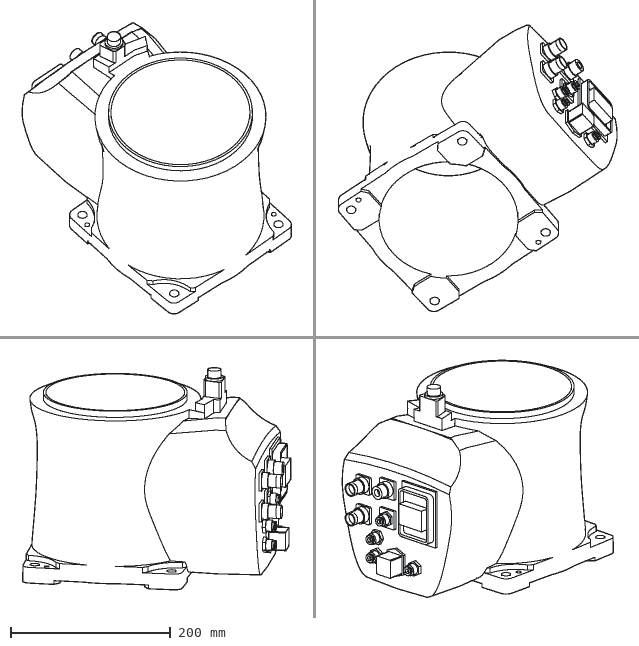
import cadquery as cq

TOTAL_HEIGHT = 260.8
TOTAL_LENGTH = 328.38
BORE_RADIUS = 87.0
RIM_RADIUS = 107.25
RIM_Z = 217.0
LIP_RADIUS = 90.2
LIP_HEIGHT = 8.0

RIM_LOWER_Z = 202.0
RIM_LOWER_RADIUS = 105.0
FOOT_RADIUS = 105.7
FOOT_TOP_Z = 9.7
WAIST_POINTS = [(104.7, 27.5), (99.9, 89.0), (98.0, 142.0), (99.6, 180.0)]

BASE_HALF = 103.4
BASE_CORNER = 101.2
BASE_FLAT_HALF = 22.3
BASE_DRAFT = 1.0
BASE_CORNER_RADIUS = 10.0
BASE_TOP_Z = 27.5
FOOT_HEIGHT = 5.0
FOOT_INNER = 54.0
FOOT_RELIEF = 7.0
CORNER_FLOOR_Z = 20.5
POCKET_X_MOUTH = (51.5, BASE_HALF)
POCKET_START = (58.5, 97.0)
POCKET_MIDDLE = (73.0, 79.0)
POCKET_END = (98.0, 70.0)
POCKET_Y_MOUTH = (BASE_HALF, 63.0)
BOLT_OFFSET = 87.0
BOLT_DIAMETER = 11.5
DOWEL_X = 70.7
DOWEL_Y = 93.5
DOWEL_DIAMETER = 6.0

FACE_X = -194.3
HOUSING_MID_X = -139.6
HOUSING_END_X = -40.0
HOUSING_BOTTOM_Z = 7.6
FACE_BOTTOM_Z = 8.7
HOUSING_TOP_Z = 212.0
HOUSING_END_TOP_Z = 196.0
FACE_WIDTH_SCALE = 0.985
END_WIDTH_SCALE = 0.865
SIDE_POINTS = [
    (51.5, 9.5),
    (62.0, 15.0),
    (69.5, 25.5),
    (85.8, 75.0),
    (94.8, 125.0),
    (86.5, 172.0),
    (69.0, 201.0),
]
TOP_HALF_WIDTH = 50.0

SCOOP_RADIUS = 660.0
SCOOP_EDGE_Z = 165.0
SCOOP_BAND = (-189.0, 173.0)
SCOOP_MIDDLE = (-166.0, 187.5)
SCOOP_TOP_X = -149.5
SCOOP_SWEEP = 24.0

MAST_X = -126.1
BRACKET_FRONT_X = -137.3
BRACKET_BACK_X = -114.0
BRACKET_TOP_Z = 227.6
BRACKET_BOTTOM_Z = 200.0
BRACKET_SIDE_Y = -24.4
BRACKET_STEP_Y = 23.3
ARM_END_OUTER = (-122.0, 48.8)
ARM_END_INNER = (-109.0, 40.6)
ARM_STEP = (-129.0, 21.7)
PAD_SIDE = (-105.0, -16.8)
PAD_ARM_SIDE = (-100.0, 36.3)
MAST_FRONT_HALF = 16.2
MAST_BACK_HALF = 9.5
MAST_CHAMFER = 2.5
MAST_TOP_Z = 248.3
COLLAR_RADIUS = 11.4
COLLAR_TOP_Z = 251.3
PIN_RADIUS = 8.4

PLATE_DEPTH = 3.2
SOCKET_Y = 55.0
SOCKET_ZS = (134.7, 94.9)
SOCKET_PLATE = 23.1
SOCKET_CORNER = 2.5
SOCKET_DEPTH = 6.0
SOCKET_TIP_X = RIM_RADIUS - TOTAL_LENGTH
SHOULDER_X = -205.2
SHOULDER_RADIUS = 10.2
SOCKET_RADIUS = 8.4
SOCKET_BORE = 7.2
PORT_Y = 13.9
PORT_PLATE = 24.7
PORT_CORNER = 1.2
ROUND_PORT_Z = 139.9
ROUND_PORT_TIP_X = -215.8
ROUND_PORT_BORE = 4.5
HEX_PORT_Z = 100.2
HEX_PORT_NUT_DEPTH = 3.0
POINT_UP = 30.0
POINT_SIDEWAYS = 0.0
GLANDS = [(32.4, 70.1, POINT_SIDEWAYS), (32.4, 45.2, POINT_UP), (-32.3, 45.2, POINT_UP)]
GLAND_HEX_DIAMETER = 19.8
GLAND_NUT_DEPTH = 4.0
GLAND_RADIUS = 7.0
GLAND_LENGTH = 7.3
GLAND_STEM_RADIUS = 4.5
GLAND_STEM_LENGTH = 2.7
GLAND_DISC_RADIUS = 5.8
GLAND_DISC_LENGTH = 1.7
GLAND_HOLE_RADIUS = 3.0

PLUG_Z = 44.7
PLUG_WIDTH = 24.3
PLUG_TIP_X = -218.9
PLUG_CHAMFER = 1.0
PLUG_PLATE_HALF_WIDTH = 14.2
PLUG_PLATE_SHOULDER = 13.0
PLUG_PLATE_POINT = 18.7

PANEL_Y = -40.0
PANEL_Z = 120.0
PANEL_WIDTH = 57.2
PANEL_HEIGHT = 75.1
FRAME_WIDTH = 51.0
FRAME_HEIGHT = 64.8
FRAME_CORNER = 6.0
FRAME_WALL = 3.0
FRAME_X = -207.3
PANEL_RECESS_FLOOR_X = -200.5
SWITCH_WIDTH = 38.3
SWITCH_HEIGHT = 27.7
SWITCH_X = -212.8


def on_face(y, z, x=FACE_X):
    """Workplane at x, facing -X, with its local axes along -Y and Z."""
    return cq.Workplane(cq.Plane(origin=(x, y, z), xDir=(0, -1, 0), normal=(-1, 0, 0)))


def make_tube():
    profile = (
        cq.Workplane("XZ")
        .moveTo(0, FOOT_HEIGHT)
        .lineTo(FOOT_RADIUS, FOOT_HEIGHT)
        .lineTo(FOOT_RADIUS, FOOT_TOP_Z)
        .spline(WAIST_POINTS + [(RIM_LOWER_RADIUS, RIM_LOWER_Z)], includeCurrent=True)
        .lineTo(RIM_RADIUS, RIM_Z)
        .lineTo(LIP_RADIUS, RIM_Z)
        .lineTo(LIP_RADIUS, RIM_Z + LIP_HEIGHT)
        .lineTo(0, RIM_Z + LIP_HEIGHT)
        .close()
    )
    return profile.revolve(360, (0, 0, 0), (0, 1, 0)).rotate((0, 0, 0), (0, 0, 1), -90)


def make_corner_pocket():
    """Space above the lowered bolt pad in the +X +Y corner, outside the web."""
    outside = 2 * BASE_HALF
    pocket = (
        cq.Workplane("XY", origin=(0, 0, CORNER_FLOOR_Z))
        .moveTo(*POCKET_X_MOUTH)
        .lineTo(*POCKET_START)
        .threePointArc(POCKET_MIDDLE, POCKET_END)
        .lineTo(*POCKET_Y_MOUTH)
        .lineTo(outside, POCKET_Y_MOUTH[1])
        .lineTo(outside, outside)
        .lineTo(POCKET_X_MOUTH[0], outside)
        .close()
        .extrude(BASE_TOP_Z)
    )
    return pocket


def make_base_plate():
    """Square plate, slightly wider at mid side, drafted above the foot line."""
    outline = []
    for turn_x, turn_y in ((1, 0), (0, 1), (-1, 0), (0, -1)):
        for x, y in ((BASE_HALF, -BASE_FLAT_HALF), (BASE_HALF, BASE_FLAT_HALF), (BASE_CORNER, BASE_CORNER)):
            outline.append((x * turn_x - y * turn_y, x * turn_y + y * turn_x))
    lower = (
        cq.Workplane("XY")
        .polyline(outline)
        .close()
        .extrude(FOOT_TOP_Z)
        .edges("|Z and (>(1,1,0) or <(1,1,0) or >(1,-1,0) or <(1,-1,0))")
        .fillet(BASE_CORNER_RADIUS)
    )
    return lower.faces(">Z").wires().toPending().extrude(BASE_TOP_Z - FOOT_TOP_Z, taper=BASE_DRAFT)


def make_underside_channel():
    """Channel along Y between the feet, widening where it meets the plate edge."""
    mouth_half = FOOT_INNER + FOOT_RELIEF
    flare_start = BASE_CORNER - FOOT_RELIEF
    return (
        cq.Workplane("XY")
        .polyline([
            (mouth_half, BASE_HALF),
            (FOOT_INNER, flare_start),
            (FOOT_INNER, -flare_start),
            (mouth_half, -BASE_HALF),
            (-mouth_half, -BASE_HALF),
            (-FOOT_INNER, -flare_start),
            (-FOOT_INNER, flare_start),
            (-mouth_half, BASE_HALF),
        ])
        .close()
        .extrude(FOOT_HEIGHT)
    )


def make_base():
    channel = make_underside_channel()
    base = make_base_plate().cut(channel).cut(channel.rotate((0, 0, 0), (0, 0, 1), 90))
    pocket = make_corner_pocket()
    for corner in (
        pocket,
        pocket.mirror("YZ"),
        pocket.mirror("XZ"),
        pocket.mirror("YZ").mirror("XZ"),
    ):
        base = base.cut(corner)
    bolts = cq.Workplane("XY").rect(2 * BOLT_OFFSET, 2 * BOLT_OFFSET, forConstruction=True).vertices()
    base = base.cut(bolts.circle(BOLT_DIAMETER / 2).extrude(BASE_TOP_Z))
    dowels = cq.Workplane("XY").pushPoints([(DOWEL_X, DOWEL_Y), (-DOWEL_X, -DOWEL_Y)])
    return base.cut(dowels.circle(DOWEL_DIAMETER / 2).extrude(BASE_TOP_Z))


def housing_section(x, width_scale, bottom_z, top_z):
    """Closed housing outline at x, scaled in width and fitted between bottom_z and top_z."""
    height_scale = (top_z - bottom_z) / (HOUSING_TOP_Z - HOUSING_BOTTOM_Z)

    def point(side, half_width, z):
        new_z = bottom_z + (z - HOUSING_BOTTOM_Z) * height_scale
        return cq.Vector(x, side * half_width * width_scale, new_z)

    bottom = cq.Vector(x, 0, bottom_z)
    sides = [[point(side, *p) for p in SIDE_POINTS] for side in (1, -1)]
    top = [point(side, TOP_HALF_WIDTH, HOUSING_TOP_Z) for side in (1, -1)]
    edges = [
        cq.Edge.makeLine(bottom, sides[0][0]),
        cq.Edge.makeSpline(sides[0]),
        cq.Edge.makeLine(sides[0][-1], top[0]),
        cq.Edge.makeLine(top[0], top[1]),
        cq.Edge.makeLine(top[1], sides[1][-1]),
        cq.Edge.makeSpline(sides[1][::-1]),
        cq.Edge.makeLine(sides[1][0], bottom),
    ]
    return cq.Wire.assembleEdges(edges)


def make_scoop():
    axis_z = SCOOP_EDGE_Z - SCOOP_RADIUS
    clear_z = TOTAL_HEIGHT
    clear_x = FACE_X - PLATE_DEPTH
    profile = (
        cq.Workplane("XZ")
        .moveTo(clear_x, SCOOP_EDGE_Z)
        .lineTo(FACE_X, SCOOP_EDGE_Z)
        .lineTo(*SCOOP_BAND)
        .spline([SCOOP_MIDDLE, (SCOOP_TOP_X, HOUSING_TOP_Z)], includeCurrent=True)
        .lineTo(SCOOP_TOP_X, clear_z)
        .lineTo(clear_x, clear_z)
        .close()
    )
    scoop = profile.revolve(SCOOP_SWEEP, (0, axis_z, 0), (1, axis_z, 0))
    return scoop.rotate((0, 0, axis_z), (1, 0, axis_z), -SCOOP_SWEEP / 2)


def make_housing():
    face = housing_section(FACE_X, FACE_WIDTH_SCALE, FACE_BOTTOM_Z, HOUSING_TOP_Z)
    middle = housing_section(HOUSING_MID_X, 1.0, HOUSING_BOTTOM_Z, HOUSING_TOP_Z)
    end = housing_section(HOUSING_END_X, END_WIDTH_SCALE, HOUSING_BOTTOM_Z, HOUSING_END_TOP_Z)
    front = cq.Workplane(cq.Solid.makeLoft([face, middle], True))
    rear = cq.Workplane(cq.Solid.makeLoft([middle, end], True))
    return front.cut(make_scoop()).union(rear)


def make_bracket():
    """Bracket with a side arm, standing on a lower pad that joins the rim."""
    outer = [
        (BRACKET_FRONT_X, BRACKET_SIDE_Y),
        (BRACKET_FRONT_X, BRACKET_STEP_Y),
        ARM_STEP,
        ARM_END_OUTER,
    ]
    side_slope = (PAD_SIDE[1] - BRACKET_SIDE_Y) / (PAD_SIDE[0] - BRACKET_FRONT_X)
    back_side_y = BRACKET_SIDE_Y + side_slope * (BRACKET_BACK_X - BRACKET_FRONT_X)
    upper_inner = [
        ARM_END_INNER,
        (BRACKET_BACK_X, BRACKET_STEP_Y),
        (BRACKET_BACK_X, back_side_y),
    ]
    pad = (
        cq.Workplane("XY", origin=(0, 0, BRACKET_BOTTOM_Z))
        .polyline(outer + [PAD_ARM_SIDE, PAD_SIDE])
        .close()
        .extrude(RIM_Z - BRACKET_BOTTOM_Z)
    )
    upper = (
        cq.Workplane("XY", origin=(0, 0, RIM_Z))
        .polyline(outer + upper_inner)
        .close()
        .extrude(BRACKET_TOP_Z - RIM_Z)
    )
    return pad.union(upper)


def make_mast():
    column = (
        cq.Workplane("XY", origin=(0, 0, BRACKET_TOP_Z))
        .polyline([
            (BRACKET_FRONT_X, -MAST_FRONT_HALF),
            (BRACKET_BACK_X, -MAST_BACK_HALF),
            (BRACKET_BACK_X, MAST_BACK_HALF),
            (BRACKET_FRONT_X, MAST_FRONT_HALF),
        ])
        .close()
        .extrude(MAST_TOP_Z - BRACKET_TOP_Z)
        .edges("|Z")
        .chamfer(MAST_CHAMFER)
    )
    axis = cq.Workplane("XY", origin=(MAST_X, 0, MAST_TOP_Z))
    collar = axis.circle(COLLAR_RADIUS).extrude(COLLAR_TOP_Z - MAST_TOP_Z)
    pin = axis.circle(PIN_RADIUS).extrude(TOTAL_HEIGHT - MAST_TOP_Z)
    return column.union(collar).union(pin)


def square_plate(y, z, size, corner):
    return on_face(y, z).rect(size, size).extrude(PLATE_DEPTH).edges("|X").fillet(corner)


def stepped_connector(y, z, tip_x, bore_radius):
    """Shouldered round connector with a blind socket in its tip."""
    shoulder = on_face(y, z).circle(SHOULDER_RADIUS).extrude(FACE_X - SHOULDER_X)
    barrel = on_face(y, z).circle(SOCKET_RADIUS).extrude(FACE_X - tip_x)
    socket = on_face(y, z, tip_x).circle(bore_radius).extrude(-SOCKET_DEPTH)
    return shoulder.union(barrel).cut(socket)


def gland(y, z, hex_angle, base_x, nut_depth):
    """Hexagonal nut, barrel, neck and end disc with a blind centre hole."""
    barrel_x = base_x - nut_depth
    stem_x = barrel_x - GLAND_LENGTH
    disc_x = stem_x - GLAND_STEM_LENGTH
    nut = on_face(y, z, base_x).polygon(6, GLAND_HEX_DIAMETER).extrude(nut_depth)
    nut = nut.rotate((base_x, y, z), (base_x + 1, y, z), hex_angle)
    barrel = on_face(y, z, barrel_x).circle(GLAND_RADIUS).extrude(GLAND_LENGTH)
    stem = on_face(y, z, stem_x).circle(GLAND_STEM_RADIUS).extrude(GLAND_STEM_LENGTH)
    disc = on_face(y, z, disc_x).circle(GLAND_DISC_RADIUS).extrude(GLAND_DISC_LENGTH)
    hole_depth = GLAND_DISC_LENGTH + GLAND_STEM_LENGTH
    hole = on_face(y, z, disc_x - GLAND_DISC_LENGTH).circle(GLAND_HOLE_RADIUS).extrude(-hole_depth)
    return nut.union(barrel).union(stem).union(disc).cut(hole)


def make_plug():
    plate = (
        on_face(0, PLUG_Z)
        .polyline([
            (0, PLUG_PLATE_POINT),
            (PLUG_PLATE_HALF_WIDTH, PLUG_PLATE_SHOULDER),
            (PLUG_PLATE_HALF_WIDTH, -PLUG_PLATE_SHOULDER),
            (0, -PLUG_PLATE_POINT),
            (-PLUG_PLATE_HALF_WIDTH, -PLUG_PLATE_SHOULDER),
            (-PLUG_PLATE_HALF_WIDTH, PLUG_PLATE_SHOULDER),
        ])
        .close()
        .extrude(PLATE_DEPTH)
    )
    plug = on_face(0, PLUG_Z).rect(PLUG_WIDTH, PLUG_WIDTH).extrude(FACE_X - PLUG_TIP_X)
    return plate.union(plug.edges("|X").chamfer(PLUG_CHAMFER))


def make_switch_panel():
    plane = on_face(PANEL_Y, PANEL_Z)
    plate = plane.rect(PANEL_WIDTH, PANEL_HEIGHT).extrude(PLATE_DEPTH)
    frame = (
        plane.rect(FRAME_WIDTH, FRAME_HEIGHT)
        .extrude(FACE_X - FRAME_X)
        .edges("|X")
        .fillet(FRAME_CORNER)
    )
    recess = (
        on_face(PANEL_Y, PANEL_Z, PANEL_RECESS_FLOOR_X)
        .rect(FRAME_WIDTH - 2 * FRAME_WALL, FRAME_HEIGHT - 2 * FRAME_WALL)
        .extrude(PANEL_RECESS_FLOOR_X - FRAME_X)
        .edges("|X")
        .fillet(FRAME_CORNER - FRAME_WALL)
    )
    switch = plane.rect(SWITCH_WIDTH, SWITCH_HEIGHT).extrude(FACE_X - SWITCH_X)
    return plate.union(frame).cut(recess).union(switch)


def make_fittings():
    fittings = [make_plug(), make_switch_panel()]
    for z in SOCKET_ZS:
        fittings.append(square_plate(SOCKET_Y, z, SOCKET_PLATE, SOCKET_CORNER))
        fittings.append(stepped_connector(SOCKET_Y, z, SOCKET_TIP_X, SOCKET_BORE))
    for z in (ROUND_PORT_Z, HEX_PORT_Z):
        fittings.append(square_plate(PORT_Y, z, PORT_PLATE, PORT_CORNER))
    fittings.append(stepped_connector(PORT_Y, ROUND_PORT_Z, ROUND_PORT_TIP_X, ROUND_PORT_BORE))
    fittings.append(gland(PORT_Y, HEX_PORT_Z, POINT_UP, FACE_X - PLATE_DEPTH, HEX_PORT_NUT_DEPTH))
    for y, z, angle in GLANDS:
        fittings.append(gland(y, z, angle, FACE_X, GLAND_NUT_DEPTH))
    return fittings


result = make_tube().union(make_base()).union(make_housing())
result = result.union(make_bracket()).union(make_mast())
result = result.cut(cq.Workplane("XY").circle(BORE_RADIUS).extrude(TOTAL_HEIGHT))
for fitting in make_fittings():
    result = result.union(fitting)